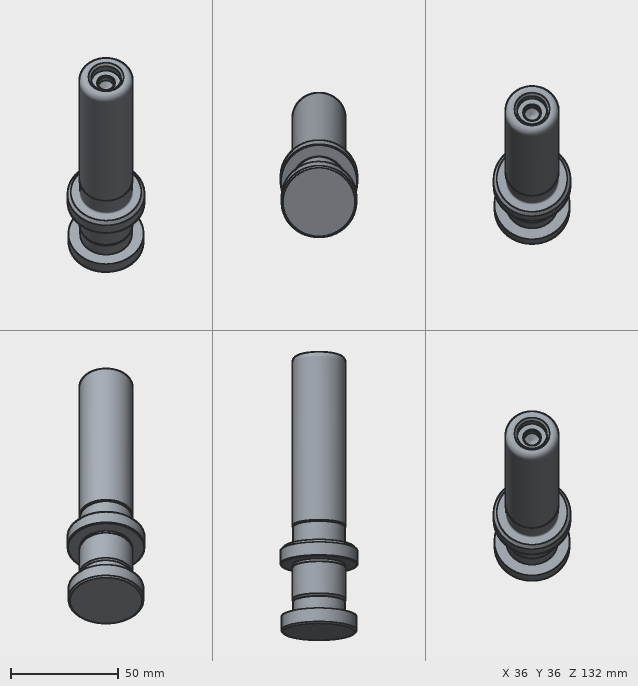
import cadquery as cq
import math

TOTAL_HEIGHT = 132.0
DISC_HEIGHT = 7.3
FLANGE_BOTTOM = 32.2
FLANGE_TOP = 40.4

DISC_RADIUS = 17.5
DISC_CHAMFER = 0.8
COLLAR_TOP = 14.4

PILLAR_RADIUS = 12.5
NECK_RADIUS = 12.1
FLANGE_DIAMETER = 36.0
FLANGE_RADIUS = FLANGE_DIAMETER / 2

SHANK_TOP = 30.8
SHANK_CHAMFER = 1.2
UNDERCUT_TAPER = 0.3

FLANGE_TOP_CHAMFER = 1.6
FLANGE_BOTTOM_CHAMFER = 0.4
ROOT_FILLET = 0.8

GUIDE_BOTTOM = 50.8
GUIDE_TAPER = 0.7
TOP_ROUND = 3.0

RECESS_RADIUS = 7.0
RECESS_DEPTH = 4.6
RECESS_CHAMFER = 1.2
PILOT_RADIUS = 3.7
PILOT_CHAMFER = 0.5
PILOT_DEPTH = 7.9
DRILL_POINT_ANGLE = 120.0


def make_disc():
    """Disc chamfered on its lower edge, with a collar that carries the pillar."""
    disc = cq.Workplane("XY").circle(DISC_RADIUS).extrude(DISC_HEIGHT)
    disc = disc.faces("<Z").edges().chamfer(DISC_CHAMFER)
    collar = cq.Workplane("XY").circle(NECK_RADIUS).extrude(COLLAR_TOP)
    return disc.union(collar)


def make_pillar_blank():
    """Turned outside of the pillar, as radius and height revolved about Z."""
    diagonal = math.sqrt(0.5)
    root_mid_radius = NECK_RADIUS + ROOT_FILLET * (1 - diagonal)
    root_mid_height = FLANGE_TOP + ROOT_FILLET * (1 - diagonal)
    round_mid_radius = PILLAR_RADIUS - TOP_ROUND * (1 - diagonal)
    round_mid_height = TOTAL_HEIGHT - TOP_ROUND * (1 - diagonal)
    profile = (
        cq.Workplane("XZ")
        .moveTo(0, COLLAR_TOP)
        .lineTo(PILLAR_RADIUS - SHANK_CHAMFER, COLLAR_TOP)
        .lineTo(PILLAR_RADIUS, COLLAR_TOP + SHANK_CHAMFER)
        .lineTo(PILLAR_RADIUS, SHANK_TOP)
        .lineTo(NECK_RADIUS, SHANK_TOP + UNDERCUT_TAPER)
        .lineTo(NECK_RADIUS, FLANGE_BOTTOM)
        .lineTo(FLANGE_RADIUS - FLANGE_BOTTOM_CHAMFER, FLANGE_BOTTOM)
        .lineTo(FLANGE_RADIUS, FLANGE_BOTTOM + FLANGE_BOTTOM_CHAMFER)
        .lineTo(FLANGE_RADIUS, FLANGE_TOP - FLANGE_TOP_CHAMFER)
        .lineTo(FLANGE_RADIUS - FLANGE_TOP_CHAMFER, FLANGE_TOP)
        .lineTo(NECK_RADIUS + ROOT_FILLET, FLANGE_TOP)
        .threePointArc((root_mid_radius, root_mid_height), (NECK_RADIUS, FLANGE_TOP + ROOT_FILLET))
        .lineTo(NECK_RADIUS, GUIDE_BOTTOM - GUIDE_TAPER)
        .lineTo(PILLAR_RADIUS, GUIDE_BOTTOM)
        .lineTo(PILLAR_RADIUS, TOTAL_HEIGHT - TOP_ROUND)
        .threePointArc((round_mid_radius, round_mid_height), (PILLAR_RADIUS - TOP_ROUND, TOTAL_HEIGHT))
        .lineTo(0, TOTAL_HEIGHT)
        .close()
    )
    return profile.revolve(360, (0, 0, 0), (0, 1, 0))


def make_centre_bore():
    """Chamfered recess and a pilot hole that ends in a drill point."""
    recess_floor = TOTAL_HEIGHT - RECESS_DEPTH
    pilot_floor = TOTAL_HEIGHT - PILOT_DEPTH
    point_depth = PILOT_RADIUS / math.tan(math.radians(DRILL_POINT_ANGLE / 2))
    profile = (
        cq.Workplane("XZ")
        .moveTo(0, TOTAL_HEIGHT)
        .lineTo(RECESS_RADIUS + RECESS_CHAMFER, TOTAL_HEIGHT)
        .lineTo(RECESS_RADIUS, TOTAL_HEIGHT - RECESS_CHAMFER)
        .lineTo(RECESS_RADIUS, recess_floor)
        .lineTo(PILOT_RADIUS + PILOT_CHAMFER, recess_floor)
        .lineTo(PILOT_RADIUS, recess_floor - PILOT_CHAMFER)
        .lineTo(PILOT_RADIUS, pilot_floor)
        .lineTo(0, pilot_floor - point_depth)
        .close()
    )
    return profile.revolve(360, (0, 0, 0), (0, 1, 0))


retaining_disc = make_disc()
pillar = make_pillar_blank().cut(make_centre_bore())

result = cq.Compound.makeCompound([retaining_disc.val(), *pillar.vals()])